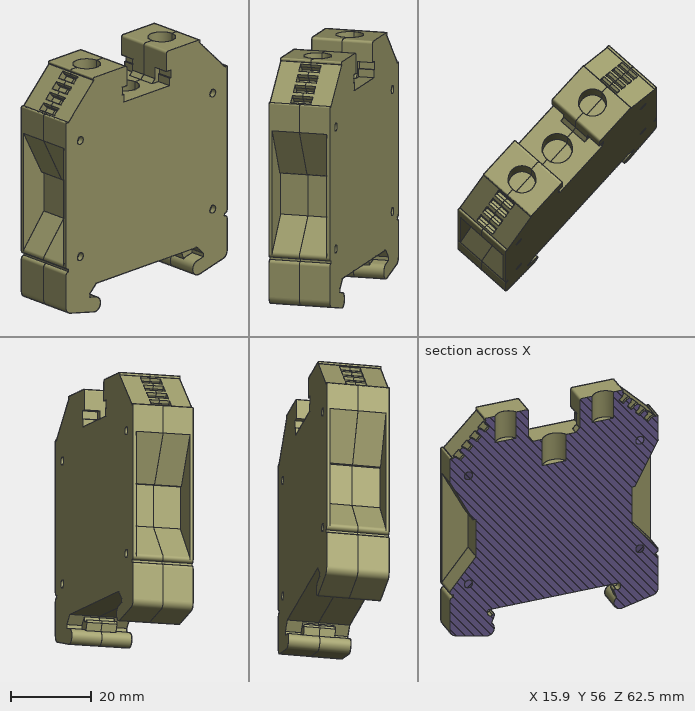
import cadquery as cq
import math

WIDTH = 15.9
LENGTH = 56.0
HEIGHT = 62.5
HALF_WIDTH = WIDTH / 2
HALF_LENGTH = LENGTH / 2

RAIL_SEAT_Z = 7.45
FOOT_RADIUS = 1.95
FOOT_ANGLE = math.radians(13)
FOOT_CORNER_Y = HALF_LENGTH - FOOT_RADIUS
FOOT_TIP_Y = 17.95
FOOT_TIP_Z = FOOT_RADIUS
FOOT_CORNER_Z = FOOT_TIP_Z + (FOOT_CORNER_Y - FOOT_TIP_Y) * math.tan(FOOT_ANGLE)
HOOK_ROOT_Y = 19.7
HOOK_SHOULDER_Z = 5.25
HOOK_SHOULDER_Y = HOOK_ROOT_Y - (RAIL_SEAT_Z - HOOK_SHOULDER_Z)

CUP_Y = 17.05
CUP_Z = 6.45
CUP_RADIUS = 0.75
CUP_END_ANGLE = math.radians(-127)
NUB_TOP = (16.3, 6.1)
NUB_SIDE = (16.0, 5.8)
LIP_CORNER = (16.0, 5.45)
LIP_TOE = (16.9, 3.1)

GROOVE_RADIUS = 0.9
GROOVE_BOTTOM_Z = 13.2
GROOVE_TOP_Z = 13.8

SLOPE_RUN = 9.8
RIM_RADIUS = 0.4
RIM_WIDTH = 0.7
RIM_HEIGHT = 0.25

CHANNEL_HALF = 6.8
CHANNEL_FLOOR_Z = 53.1
CHANNEL_CHAMFER = 1.05
POST_RADIUS = 0.7

CENTRAL_WIDTH = 7.95
UNDERCUT_TOP_Z = 57.2
UNDERCUT_STEP_Z = 55.1
UNDERCUT_UPPER_Y = 8.4
UNDERCUT_LOWER_Y = 7.95

SLOT_COUNT = 4
SLOT_LENGTH = 5.25
SLOT_MOUTH = 2.1
SLOT_MOUTH_DEPTH = 0.8
SLOT_WIDTH = 1.55
SLOT_DEPTH = 2.1
SLOT_PITCH = 3.1

FUNNEL_WIDTH = 14.2
FUNNEL_DEPTH = 7.0
FUNNEL_ROOF_DEPTH = 6.25
FUNNEL_TOP_Z = 46.05
FUNNEL_BACK_TOP_Z = 34.05
FUNNEL_BACK_BOTTOM_Z = 23.5

POST_WELL_Y = 13.05
POST_WELL_DIAMETER = 6.9
CENTRE_WELL_DIAMETER = 7.5
WELL_DEPTH = 7.5

PIN_DIAMETER = 2.0
PIN_Y = 23.0
PIN_LOWER_Z = 16.05
PIN_UPPER_Z = 47.0
PIN_RECESS = 1.55
PIN_PLACES = [(side * PIN_Y, z) for side in (-1, 1) for z in (PIN_LOWER_Z, PIN_UPPER_Z)]


def on_arc(centre_y, centre_z, radius, angle):
    """Point in YZ on a circle; the angle is measured from +Y towards +Z."""
    return centre_y + radius * math.cos(angle), centre_z + radius * math.sin(angle)


def prism(sketch, width):
    """Extrude a closed YZ sketch to the given width, centred on X = 0."""
    return sketch.close().extrude(width).translate((-width / 2, 0, 0))


def both_ends(shape):
    """The shape at the +Y end together with its mirror image at the -Y end."""
    return shape.union(shape.mirror("XZ"))


def end_block():
    """The +Y half of the housing outline."""
    down = FOOT_ANGLE - math.pi / 2
    up = down + math.pi
    hook_top_y, hook_top_z = on_arc(FOOT_TIP_Y, FOOT_TIP_Z, FOOT_RADIUS, up)
    hook_root_z = hook_top_z + (HOOK_ROOT_Y - hook_top_y) * math.tan(FOOT_ANGLE)
    groove_y = HALF_LENGTH - GROOVE_RADIUS
    eighth_turn = math.radians(45)
    rim_top_y = HALF_LENGTH - SLOPE_RUN
    rim_foot_z = HEIGHT - SLOPE_RUN
    sketch = (
        cq.Workplane("YZ")
        .moveTo(0, RAIL_SEAT_Z)
        .lineTo(HOOK_SHOULDER_Y, RAIL_SEAT_Z)
        .lineTo(HOOK_ROOT_Y, HOOK_SHOULDER_Z)
        .lineTo(HOOK_ROOT_Y, hook_root_z)
        .lineTo(hook_top_y, hook_top_z)
        .threePointArc(
            (FOOT_TIP_Y - FOOT_RADIUS, FOOT_TIP_Z),
            on_arc(FOOT_TIP_Y, FOOT_TIP_Z, FOOT_RADIUS, down),
        )
        .lineTo(*on_arc(FOOT_CORNER_Y, FOOT_CORNER_Z, FOOT_RADIUS, down))
        .threePointArc(
            on_arc(FOOT_CORNER_Y, FOOT_CORNER_Z, FOOT_RADIUS, down / 2),
            (HALF_LENGTH, FOOT_CORNER_Z),
        )
        .lineTo(HALF_LENGTH, GROOVE_BOTTOM_Z - GROOVE_RADIUS)
        .threePointArc(
            on_arc(groove_y, GROOVE_BOTTOM_Z - GROOVE_RADIUS, GROOVE_RADIUS, eighth_turn),
            (groove_y, GROOVE_BOTTOM_Z),
        )
        .lineTo(groove_y, GROOVE_TOP_Z)
        .threePointArc(
            on_arc(groove_y, GROOVE_TOP_Z + GROOVE_RADIUS, GROOVE_RADIUS, -eighth_turn),
            (HALF_LENGTH, GROOVE_TOP_Z + GROOVE_RADIUS),
        )
        .lineTo(HALF_LENGTH, rim_foot_z)
        .threePointArc(
            on_arc(HALF_LENGTH - RIM_RADIUS, rim_foot_z, RIM_RADIUS, eighth_turn),
            (HALF_LENGTH - RIM_RADIUS, rim_foot_z + RIM_RADIUS),
        )
        .lineTo(HALF_LENGTH - RIM_WIDTH, rim_foot_z + RIM_RADIUS)
        .lineTo(HALF_LENGTH - RIM_WIDTH, rim_foot_z + RIM_RADIUS - RIM_HEIGHT)
        .lineTo(rim_top_y + RIM_RADIUS - RIM_HEIGHT, HEIGHT - RIM_WIDTH)
        .lineTo(rim_top_y + RIM_RADIUS, HEIGHT - RIM_WIDTH)
        .lineTo(rim_top_y + RIM_RADIUS, HEIGHT - RIM_RADIUS)
        .threePointArc(
            on_arc(rim_top_y, HEIGHT - RIM_RADIUS, RIM_RADIUS, eighth_turn),
            (rim_top_y, HEIGHT),
        )
        .lineTo(CHANNEL_HALF + POST_RADIUS, HEIGHT)
        .threePointArc(
            on_arc(CHANNEL_HALF + POST_RADIUS, HEIGHT - POST_RADIUS, POST_RADIUS, 3 * eighth_turn),
            (CHANNEL_HALF, HEIGHT - POST_RADIUS),
        )
        .lineTo(CHANNEL_HALF, CHANNEL_FLOOR_Z + CHANNEL_CHAMFER)
        .lineTo(CHANNEL_HALF - CHANNEL_CHAMFER, CHANNEL_FLOOR_Z)
        .lineTo(0, CHANNEL_FLOOR_Z)
    )
    return prism(sketch, WIDTH)


def spring_lip():
    """Lip that fills the hook recess over the central width, with a round cup in its top."""
    cup_side_y = CUP_Y + CUP_RADIUS
    cup_side_top_z = RAIL_SEAT_Z + HOOK_SHOULDER_Y - cup_side_y
    sketch = (
        cq.Workplane("YZ")
        .moveTo(HOOK_ROOT_Y, HOOK_SHOULDER_Z)
        .lineTo(cup_side_y, cup_side_top_z)
        .lineTo(cup_side_y, CUP_Z)
        .threePointArc(
            on_arc(CUP_Y, CUP_Z, CUP_RADIUS, CUP_END_ANGLE / 2),
            on_arc(CUP_Y, CUP_Z, CUP_RADIUS, CUP_END_ANGLE),
        )
        .threePointArc(NUB_TOP, NUB_SIDE)
        .lineTo(*LIP_CORNER)
        .lineTo(*LIP_TOE)
        .lineTo(HOOK_ROOT_Y, LIP_TOE[1])
    )
    return prism(sketch, CENTRAL_WIDTH)


def undercut():
    """Stepped recess beside the central part of the channel, at both X ends."""
    sketch = (
        cq.Workplane("YZ")
        .moveTo(0, CHANNEL_FLOOR_Z)
        .lineTo(UNDERCUT_LOWER_Y, CHANNEL_FLOOR_Z)
        .lineTo(UNDERCUT_LOWER_Y, UNDERCUT_STEP_Z)
        .lineTo(UNDERCUT_UPPER_Y, UNDERCUT_STEP_Z)
        .lineTo(UNDERCUT_UPPER_Y, UNDERCUT_TOP_Z)
        .lineTo(0, UNDERCUT_TOP_Z)
    )
    kept = cq.Workplane("XY").box(CENTRAL_WIDTH, 2 * LENGTH, 3 * HEIGHT)
    return prism(sketch, WIDTH).cut(kept)


def marker_slots():
    """Row of slots cut square into the marker slope, each with a flared mouth."""
    rim_inset = RIM_WIDTH - RIM_RADIUS + RIM_HEIGHT
    slope_middle = (SLOPE_RUN + rim_inset) / 2
    slope = cq.Workplane(
        cq.Plane(
            origin=(-SLOT_LENGTH / 2, HALF_LENGTH - slope_middle, HEIGHT - slope_middle),
            xDir=(0, 1, -1),
            normal=(1, 0, 0),
        )
    )
    outline = [
        (SLOT_MOUTH / 2, 0),
        (SLOT_WIDTH / 2, -SLOT_MOUTH_DEPTH),
        (SLOT_WIDTH / 2, -SLOT_DEPTH),
        (-SLOT_WIDTH / 2, -SLOT_DEPTH),
        (-SLOT_WIDTH / 2, -SLOT_MOUTH_DEPTH),
        (-SLOT_MOUTH / 2, 0),
    ]
    slots = cq.Workplane("XY")
    for index in range(SLOT_COUNT):
        along_slope = (index - (SLOT_COUNT - 1) / 2) * SLOT_PITCH
        slots = slots.add(slope.center(along_slope, 0).polyline(outline).close().extrude(SLOT_LENGTH))
    return slots.combine()


def wire_funnel():
    """Tapered pocket in the end face; its floor rolls over into the rounded top of the groove."""
    back_y = HALF_LENGTH - FUNNEL_DEPTH
    round_y = HALF_LENGTH - GROOVE_RADIUS
    round_z = GROOVE_TOP_Z + GROOVE_RADIUS
    back_distance = math.hypot(back_y - round_y, FUNNEL_BACK_BOTTOM_Z - round_z)
    back_angle = math.atan2(FUNNEL_BACK_BOTTOM_Z - round_z, back_y - round_y)
    tangent_angle = back_angle - math.acos(GROOVE_RADIUS / back_distance)
    sketch = (
        cq.Workplane("YZ")
        .moveTo(HALF_LENGTH, FUNNEL_TOP_Z)
        .lineTo(HALF_LENGTH - FUNNEL_ROOF_DEPTH, FUNNEL_BACK_TOP_Z)
        .lineTo(back_y, FUNNEL_BACK_TOP_Z)
        .lineTo(back_y, FUNNEL_BACK_BOTTOM_Z)
        .lineTo(*on_arc(round_y, round_z, GROOVE_RADIUS, tangent_angle))
        .threePointArc(
            on_arc(round_y, round_z, GROOVE_RADIUS, tangent_angle / 2),
            (HALF_LENGTH, round_z),
        )
    )
    return prism(sketch, FUNNEL_WIDTH)


def well(y, top_z, diameter):
    """Blind round screw access hole."""
    bottom = cq.Workplane("XY", origin=(0, y, top_z - WELL_DEPTH))
    return bottom.circle(diameter / 2).extrude(WELL_DEPTH)


def cross_rod(y, z, length):
    """Round rod along X, centred on the seam."""
    start = cq.Workplane("YZ", origin=(-length / 2, y, z))
    return start.circle(PIN_DIAMETER / 2).extrude(length)


def half_space(side):
    """Box that reaches past the housing on one side of the seam at X = 0."""
    return cq.Workplane("XY").box(WIDTH, 2 * LENGTH, 3 * HEIGHT).translate((side * HALF_WIDTH, 0, 0))


def housing_block():
    """Both housing halves as one piece, before the split at the seam."""
    block = both_ends(end_block().union(spring_lip()))
    end_cuts = [undercut(), marker_slots(), wire_funnel(), well(POST_WELL_Y, HEIGHT, POST_WELL_DIAMETER)]
    for end_cut in end_cuts:
        block = block.cut(end_cut).cut(end_cut.mirror("XZ"))
    block = block.cut(well(0, CHANNEL_FLOOR_Z, CENTRE_WELL_DIAMETER))
    for y, z in PIN_PLACES:
        block = block.cut(cross_rod(y, z, WIDTH))
    return block


def housing_half(block, side):
    """The part of the housing on one side of the seam, as a single solid."""
    return block.intersect(half_space(side)).solids()


def pin(y, z):
    """Joining pin, set back from both side faces."""
    return cross_rod(y, z, WIDTH - 2 * PIN_RECESS)


whole_housing = housing_block()
housing_halves = [housing_half(whole_housing, side) for side in (-1, 1)]
pins = [pin(y, z) for y, z in PIN_PLACES]
result = cq.Compound.makeCompound([body.val() for body in housing_halves + pins])